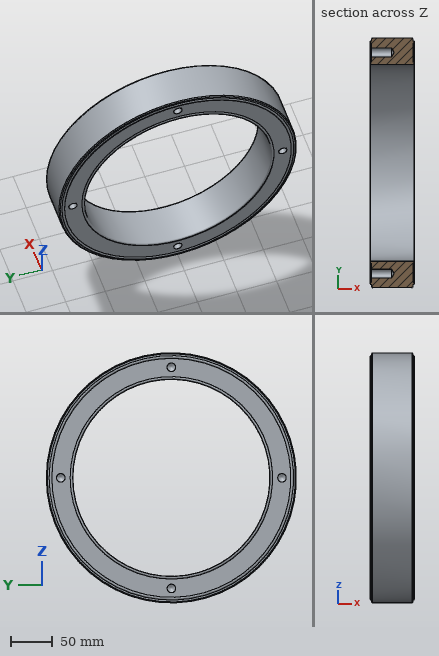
import cadquery as cq

width = 53.0
outer_diameter = 300.0
bore_diameter = 236.0
outer_radius = outer_diameter / 2
bore_radius = bore_diameter / 2
outer_chamfer = 1.2

bead_radius = 1.65
outer_bead_center_radius = 145.0
bore_bead_center_radius = bore_radius + bead_radius
body_width = width - 2 * bead_radius
end_face_x = body_width / 2

hole_count = 4
hole_diameter = 10.2
hole_radius = hole_diameter / 2
hole_circle_radius = 132.5
hole_depth = 24.0
drill_point_length = 3.0


def make_body():
    """Plain ring with small chamfers on its outer edges."""
    disc = (
        cq.Workplane("YZ", origin=(-end_face_x, 0, 0))
        .circle(outer_radius)
        .extrude(body_width)
        .edges()
        .chamfer(outer_chamfer)
    )
    bore = (
        cq.Workplane("YZ", origin=(-end_face_x, 0, 0))
        .circle(bore_radius)
        .extrude(body_width)
    )
    return disc.cut(bore)


def make_bead(center_radius, side):
    """Half-round bead on the end face at side * X."""
    face_x = side * end_face_x
    crest_x = side * (end_face_x + bead_radius)
    return (
        cq.Workplane("XY")
        .moveTo(face_x, center_radius - bead_radius)
        .threePointArc((crest_x, center_radius), (face_x, center_radius + bead_radius))
        .close()
        .revolve(360, (0, 0, 0), (1, 0, 0))
    )


def make_hole():
    """Drill cutter along +X from the -X face, at the top of the hole circle."""
    bottom_x = -end_face_x + hole_depth
    return (
        cq.Workplane("XY")
        .moveTo(-end_face_x, 0)
        .lineTo(-end_face_x, hole_radius)
        .lineTo(bottom_x, hole_radius)
        .lineTo(bottom_x + drill_point_length, 0)
        .close()
        .revolve(360, (0, 0, 0), (1, 0, 0))
        .translate((0, 0, hole_circle_radius))
    )


result = make_body()

for side in (-1, 1):
    for center_radius in (outer_bead_center_radius, bore_bead_center_radius):
        result = result.union(make_bead(center_radius, side))

for index in range(hole_count):
    angle = index * 360 / hole_count
    result = result.cut(make_hole().rotate((0, 0, 0), (1, 0, 0), angle))